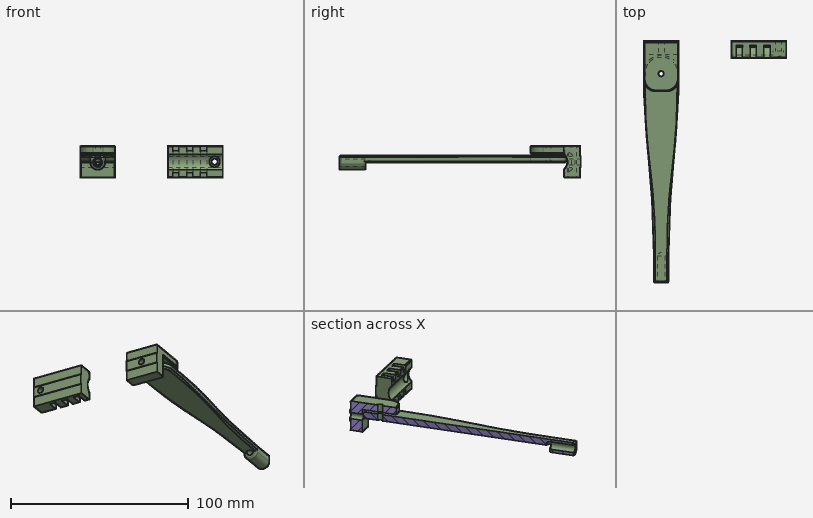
import cadquery as cq
HEIGHT = 18.0
MID_Z = HEIGHT / 2
RIB_DEPTH = 0.4
RIB_HEIGHT = 6.3
SCREW_D = 3.4
EDGE_CHAMFER = 0.5

BRACKET_WIDTH = 19.7
PLATE_LENGTH = 28.0
PLATE_THICKNESS = 4.5
PLATE_CORNER_R = 7.1
LEG_THICKNESS = 7.2

ARM_GAP = 1.0
ARM_THICKNESS = 4.1
ARM_TOP = HEIGHT - PLATE_THICKNESS - ARM_GAP
ARM_BOTTOM = ARM_TOP - ARM_THICKNESS
ARM_REAR_Y = -7.8
ARM_REAR_R = 9.3
ARM_CHAMFER = 1.0
PIVOT_Y = -18.1
PIVOT_D = 2.9
TAPER_START_Y = -PLATE_LENGTH
TAPER_STATIONS = [(8.2, -55.1), (5.7, -82.3)]
TAPER_START_DIR = (-0.06, -1)
TAPER_END_DIR = (-0.03, -1)

TIP_Y = -135.7
BARREL_LENGTH = 15.1
BARREL_WIDTH = 8.3
BARREL_R = 4.2
BARREL_AXIS_DROP = 3.8
BARREL_AXIS_Z = ARM_TOP - BARREL_AXIS_DROP
BARREL_END_R = 1.0
BORE_D = 4.2
BORE_MOUTH_CHAMFER = 0.4

BLOCK_LENGTH = 30.9
BLOCK_DEPTH = 9.3
BLOCK_GAP = 29.7
BLOCK_LEFT = BRACKET_WIDTH / 2 + BLOCK_GAP
GROOVE_DEPTH = 1.9
GROOVE_CHORD = 8.7
SLOT_COUNT = 3
SLOT_PITCH = 7.8
SLOT_FIRST_X = 4.5
SLOT_WIDTH = 3.4
SLOT_DEPTH = 7.0
SLOT_FLOOR_R = 6.1
SCREW_X = 26.3
COUNTERBORE_D = 6.0
COUNTERBORE_FLOOR = 5.2


def box(x, y, z):
    """Axis-aligned box from three (low, high) ranges."""
    size = [high - low for low, high in (x, y, z)]
    return cq.Workplane("XY").box(*size, centered=False).translate((x[0], y[0], z[0]))


def rod_x(radius, x, y, z):
    """Cylinder along X over the range x."""
    return cq.Workplane("YZ", origin=(x[0], y, z)).circle(radius).extrude(x[1] - x[0])


def rod_y(diameter, x, y, z):
    """Cylinder along Y over the range y."""
    return cq.Workplane("XZ", origin=(x, y[1], z)).circle(diameter / 2).extrude(y[1] - y[0])


def pivot_hole():
    return cq.Workplane("XY").center(0, PIVOT_Y).circle(PIVOT_D / 2).extrude(HEIGHT)


def back_rib(x):
    return box(x, (0, RIB_DEPTH), (MID_Z - RIB_HEIGHT / 2, MID_Z + RIB_HEIGHT / 2))


def make_bracket():
    half = BRACKET_WIDTH / 2
    x = (-half, half)
    plate_bottom = HEIGHT - PLATE_THICKNESS
    plate = box(x, (-PLATE_LENGTH, 0), (plate_bottom, HEIGHT))
    plate = plate.edges("|Z and <Y").fillet(PLATE_CORNER_R)
    plate = plate.faces(">Z").chamfer(EDGE_CHAMFER)
    plate = plate.faces("<Z").edges("not >Y").chamfer(EDGE_CHAMFER)
    leg = box(x, (-LEG_THICKNESS, 0), (0, plate_bottom + EDGE_CHAMFER))
    leg = leg.edges("|Z and <Y").chamfer(EDGE_CHAMFER)
    screw_hole = rod_y(SCREW_D, 0, (-LEG_THICKNESS, RIB_DEPTH), MID_Z)
    return plate.union(leg).union(back_rib(x)).cut(screw_hole).cut(pivot_hole())


def make_arm_blade():
    wide = BRACKET_WIDTH / 2
    narrow = BARREL_WIDTH / 2
    taper_end_y = TIP_Y + BARREL_LENGTH - ARM_CHAMFER
    blade_end_y = TIP_Y + BARREL_LENGTH / 2
    taper = [(wide, TAPER_START_Y), *TAPER_STATIONS, (narrow, taper_end_y)]
    half_blade = (
        cq.Workplane("XY", origin=(0, 0, ARM_BOTTOM))
        .moveTo(0, ARM_REAR_Y)
        .lineTo(wide, ARM_REAR_Y)
        .lineTo(wide, TAPER_START_Y)
        .spline(taper[1:], tangents=[TAPER_START_DIR, TAPER_END_DIR], includeCurrent=True)
        .lineTo(narrow, blade_end_y)
        .lineTo(0, blade_end_y)
        .close()
        .extrude(ARM_THICKNESS)
    )
    blade = half_blade.union(half_blade.mirror("YZ")).clean()
    blade = blade.edges("|Z and >Y").fillet(ARM_REAR_R)
    return blade.faces(">Z or <Z").chamfer(ARM_CHAMFER)


def make_barrel():
    half = BARREL_WIDTH / 2
    y = (TIP_Y, TIP_Y + BARREL_LENGTH)
    envelope = box((-half, half), y, (BARREL_AXIS_Z - BARREL_R, ARM_TOP))
    rounded_ends = envelope.edges("|Z").fillet(BARREL_END_R)
    envelope = envelope.faces(">Z").chamfer(ARM_CHAMFER).intersect(rounded_ends)
    upper = box((-half, half), y, (BARREL_AXIS_Z, ARM_TOP))
    round_bottom = rod_y(2 * BARREL_R, 0, y, BARREL_AXIS_Z).edges().fillet(BARREL_END_R)
    return envelope.intersect(upper.union(round_bottom))


def tip_bore():
    """Bore through the barrel with a chamfered mouth, ending in a ball shape inside the blade."""
    bore_end_y = TIP_Y + BARREL_LENGTH
    bore = rod_y(BORE_D, 0, (TIP_Y, bore_end_y), BARREL_AXIS_Z)
    ball = cq.Workplane("XY", origin=(0, bore_end_y, BARREL_AXIS_Z)).sphere(BORE_D / 2)
    mouth_r = BORE_D / 2 + BORE_MOUTH_CHAMFER
    mouth = cq.Workplane(cq.Solid.makeCone(
        mouth_r, BORE_D / 2, BORE_MOUTH_CHAMFER, cq.Vector(0, TIP_Y, BARREL_AXIS_Z), cq.Vector(0, 1, 0)
    ))
    return bore.union(ball).union(mouth)


def make_arm():
    return make_arm_blade().union(make_barrel()).cut(tip_bore()).cut(pivot_hole())


def band_slot(center_x):
    """Slot for a band: open above and below, passing behind a rounded core."""
    x = (center_x - SLOT_WIDTH / 2, center_x + SLOT_WIDTH / 2)
    slot = box(x, (-BLOCK_DEPTH, -BLOCK_DEPTH + SLOT_DEPTH), (0, HEIGHT))
    return slot.cut(rod_x(SLOT_FLOOR_R, x, -BLOCK_DEPTH, MID_Z))


def make_block():
    x = (BLOCK_LEFT, BLOCK_LEFT + BLOCK_LENGTH)
    block = box(x, (-BLOCK_DEPTH, 0), (0, HEIGHT))
    block = block.faces("<Y").edges("|X").chamfer(EDGE_CHAMFER)
    groove_r = ((GROOVE_CHORD / 2) ** 2 + GROOVE_DEPTH ** 2) / (2 * GROOVE_DEPTH)
    groove = rod_x(groove_r, x, -BLOCK_DEPTH + GROOVE_DEPTH - groove_r, MID_Z)
    block = block.union(back_rib(x)).cut(groove)
    for i in range(SLOT_COUNT):
        block = block.cut(band_slot(BLOCK_LEFT + SLOT_FIRST_X + i * SLOT_PITCH))
    screw_x = BLOCK_LEFT + SCREW_X
    screw_hole = rod_y(SCREW_D, screw_x, (-BLOCK_DEPTH, RIB_DEPTH), MID_Z)
    counterbore = rod_y(COUNTERBORE_D, screw_x, (-BLOCK_DEPTH, -COUNTERBORE_FLOOR), MID_Z)
    return block.cut(screw_hole).cut(counterbore)


bracket = make_bracket()
arm = make_arm()
block = make_block()

result = cq.Compound.makeCompound([bracket.val(), arm.val(), block.val()])